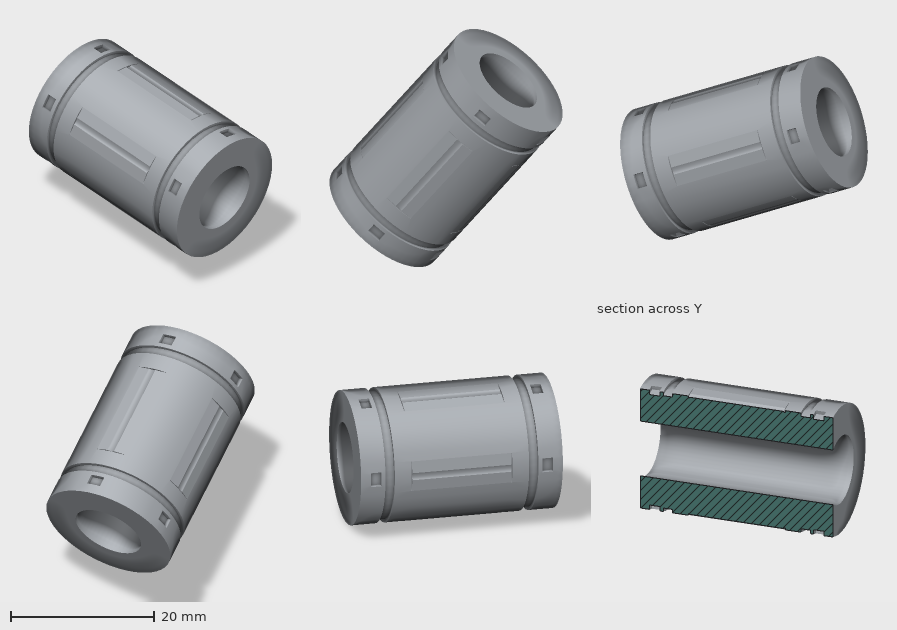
import cadquery as cq
import math

length = 29.0
outer_radius = 19.0 / 2
bore_radius = 10.0 / 2
clearance = 0.3

ring_groove_radius = 18.0 / 2
ring_groove_offset = 3.5
ring_groove_width = 1.33

plate_count = 5
plate_length = 14.5
plate_width = 4.4
plate_start = (length - plate_length) / 2
plate_end = plate_start + plate_length

slit_width = 0.12
slit_depth = 0.3

track_width = 1.05
track_depth = 0.15

pocket_offset = 1.42
pocket_length = 1.5
pocket_angle = 12.5
pocket_depth = 0.65


def axial_cylinder(radius, start, end):
    """Cylinder around the X axis from X = start to X = end."""
    return cq.Workplane("YZ").workplane(offset=start).circle(radius).extrude(end - start)


def ring_groove_cutter(start):
    end = start + ring_groove_width
    ring = axial_cylinder(outer_radius + clearance, start, end)
    return ring.cut(axial_cylinder(ring_groove_radius, start, end))


def plate_face_cutter():
    """Leaves two flat lands, each a chord of the outer circle, and the track between them."""
    plate_half = plate_width / 2
    track_half = track_width / 2
    plate_edge = math.sqrt(outer_radius**2 - plate_half**2)
    track_edge = math.sqrt(outer_radius**2 - track_half**2)
    return (
        cq.Workplane("YZ")
        .workplane(offset=plate_start)
        .moveTo(plate_edge, -plate_half)
        .lineTo(track_edge, -track_half)
        .threePointArc((track_edge - track_depth, 0), (track_edge, track_half))
        .lineTo(plate_edge, plate_half)
        .lineTo(outer_radius + clearance, plate_half)
        .lineTo(outer_radius + clearance, -plate_half)
        .close()
        .extrude(plate_length)
    )


def slit_cutter(start):
    box = cq.Workplane("XY").box(
        slit_width, slit_depth + clearance, plate_width, centered=(False, False, True)
    )
    return box.translate((start, outer_radius - slit_depth, 0))


def pocket_cutter(start):
    floor = outer_radius - pocket_depth
    top = outer_radius + clearance
    slope = math.tan(math.radians(pocket_angle / 2))
    return (
        cq.Workplane("YZ")
        .workplane(offset=start)
        .moveTo(floor, -floor * slope)
        .lineTo(top, -top * slope)
        .lineTo(top, top * slope)
        .lineTo(floor, floor * slope)
        .close()
        .extrude(pocket_length)
    )


result = axial_cylinder(outer_radius, 0, length).cut(axial_cylinder(bore_radius, 0, length))

for groove_start in (ring_groove_offset, length - ring_groove_offset - ring_groove_width):
    result = result.cut(ring_groove_cutter(groove_start))

station_cutters = [
    plate_face_cutter(),
    slit_cutter(plate_start),
    slit_cutter(plate_end - slit_width),
    pocket_cutter(pocket_offset),
    pocket_cutter(length - pocket_offset - pocket_length),
]
for station in range(plate_count):
    angle = station * 360.0 / plate_count
    for cutter in station_cutters:
        result = result.cut(cutter.rotate((0, 0, 0), (1, 0, 0), angle))